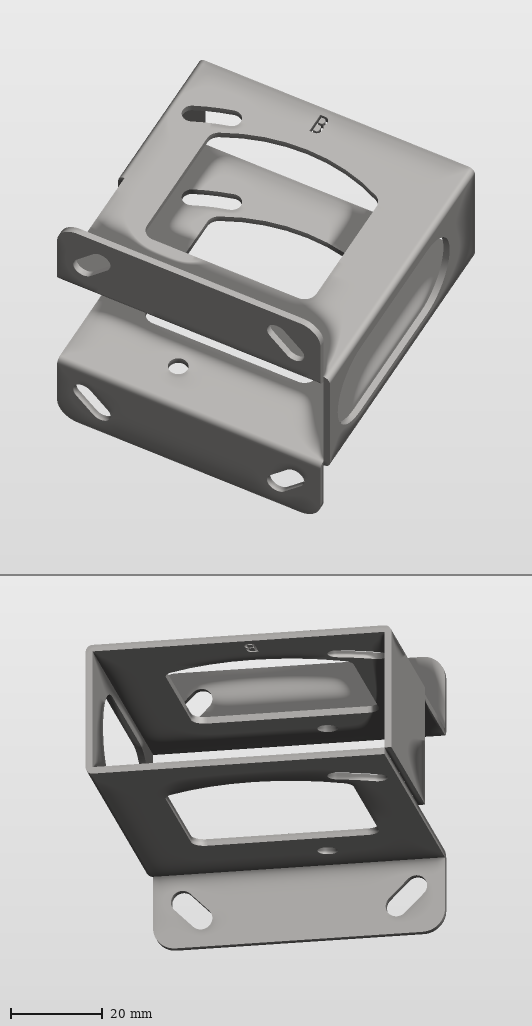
import cadquery as cq
import math

SHEET = 1.5
HAIRLINE = 0.01
BEND_RADIUS = SHEET - HAIRLINE
DEPTH = 69.5
PLATE_WIDTH = 65.0
CHANNEL_HEIGHT = 29.9
FLANGE_SPAN = 63.8

FRONT = -DEPTH / 2
BACK = DEPTH / 2
PLATE_FRONT = FRONT + SHEET
PLATE_SIDE = PLATE_WIDTH / 2
PLATE_TOP = CHANNEL_HEIGHT / 2
PLATE_INNER = PLATE_TOP - SHEET

LIP_LENGTH = 37.95
LIP_BOTTOM = HAIRLINE - PLATE_INNER

FLANGE_CORNER_RADIUS = 5.0
MOUNT_SLOT_X = 23.9
MOUNT_SLOT_Z = 23.3
MOUNT_SLOT_WIDTH = 5.0
MOUNT_SLOT_TRAVEL = 6.0
MOUNT_SLOT_ANGLE = 45.0

PIVOT_X = -8.2
PIVOT_Y = -24.1
PIVOT_DIAMETER = 4.5
SWING_RADIUS = 48.4
SWING_MIDDLE = 109.0
SWING_SWEEP = 10.4

WINDOW_X = -0.9
WINDOW_WIDTH = 41.85
WINDOW_FRONT = -15.85
WINDOW_CROWN = 22.6
WINDOW_ARCH_RADIUS = 42.5
WINDOW_CORNER_RADIUS = 3.0

WALL_OPENING_HEIGHT = 21.35
WALL_OPENING_FRONT = -29.55
WALL_OPENING_BACK = 22.95

CORE_LEFT = -2.5
CORE_WIDTH = 1.25
CORE_GAP = 0.55
LOWER_CORE_Y = 28.15
LOWER_CORE_LENGTH = 1.9
UPPER_CORE_Y = LOWER_CORE_Y + LOWER_CORE_LENGTH + CORE_GAP
UPPER_CORE_LENGTH = 1.6
CORE_ROUND = 0.55
CORES = [(LOWER_CORE_Y, LOWER_CORE_LENGTH), (UPPER_CORE_Y, UPPER_CORE_LENGTH)]


def box(x0, x1, y0, y1, z0, z1):
    """Box between two opposite corners."""
    return cq.Workplane("XY").box(x1 - x0, y1 - y0, z1 - z0, centered=False).translate((x0, y0, z0))


def channel():
    """Top plate, right wall and bottom plate bent as one U."""
    outer = box(-PLATE_SIDE, PLATE_SIDE + SHEET, PLATE_FRONT, BACK, -PLATE_TOP, PLATE_TOP)
    outer = outer.edges("|Y and >X").fillet(BEND_RADIUS)
    inner = box(-PLATE_SIDE, PLATE_SIDE, PLATE_FRONT, BACK, -PLATE_INNER, PLATE_INNER)
    return outer.cut(inner)


def lip():
    """Short left wall, bent down from the top plate."""
    body = box(-PLATE_SIDE - SHEET, -PLATE_SIDE, BACK - LIP_LENGTH, BACK, LIP_BOTTOM, PLATE_TOP)
    return body.edges("|Y and <X and >Z").fillet(BEND_RADIUS)


def flange():
    """Upper mounting flange, bent up from the front of the top plate."""
    top = FLANGE_SPAN / 2
    body = box(-PLATE_SIDE, PLATE_SIDE, FRONT, PLATE_FRONT, PLATE_INNER, top)
    body = body.edges("|Y and >Z").fillet(FLANGE_CORNER_RADIUS)
    body = body.edges("|X and <Y and <Z").fillet(BEND_RADIUS)
    for side in (-1, 1):
        slot = (
            cq.Workplane("XZ", origin=(side * MOUNT_SLOT_X, PLATE_FRONT, MOUNT_SLOT_Z))
            .slot2D(MOUNT_SLOT_TRAVEL + MOUNT_SLOT_WIDTH, MOUNT_SLOT_WIDTH, -side * MOUNT_SLOT_ANGLE)
            .extrude(SHEET)
        )
        body = body.cut(slot)
    return body


def plate_cutter():
    """Workplane on the underside of the bottom plate, for cuts through both plates."""
    return cq.Workplane("XY", origin=(0, 0, -PLATE_TOP))


def pivot_hole():
    """Round hole through both plates."""
    return plate_cutter().center(PIVOT_X, PIVOT_Y).circle(PIVOT_DIAMETER / 2).extrude(CHANNEL_HEIGHT)


def swing_point(radius, angle):
    """Point at a radius and direction from the pivot."""
    turn = math.radians(angle)
    return (PIVOT_X + radius * math.cos(turn), PIVOT_Y + radius * math.sin(turn))


def swing_slot():
    """Arc slot about the pivot, as wide as the pivot hole."""
    half = PIVOT_DIAMETER / 2
    inner = SWING_RADIUS - half
    outer = SWING_RADIUS + half
    start = SWING_MIDDLE - SWING_SWEEP / 2
    end = SWING_MIDDLE + SWING_SWEEP / 2
    end_turn = math.degrees(half / SWING_RADIUS)
    return (
        plate_cutter()
        .moveTo(*swing_point(inner, start))
        .threePointArc(swing_point(SWING_RADIUS, start - end_turn), swing_point(outer, start))
        .threePointArc(swing_point(outer, SWING_MIDDLE), swing_point(outer, end))
        .threePointArc(swing_point(SWING_RADIUS, end + end_turn), swing_point(inner, end))
        .threePointArc(swing_point(inner, SWING_MIDDLE), swing_point(inner, start))
        .close()
        .extrude(CHANNEL_HEIGHT)
    )


def window():
    """Rectangle with an arched back edge and rounded corners."""
    half = WINDOW_WIDTH / 2
    arch_drop = WINDOW_ARCH_RADIUS - math.sqrt(WINDOW_ARCH_RADIUS**2 - half**2)
    shoulder = WINDOW_CROWN - arch_drop
    return (
        plate_cutter()
        .moveTo(WINDOW_X - half, WINDOW_FRONT)
        .lineTo(WINDOW_X + half, WINDOW_FRONT)
        .lineTo(WINDOW_X + half, shoulder)
        .threePointArc((WINDOW_X, WINDOW_CROWN), (WINDOW_X - half, shoulder))
        .close()
        .extrude(CHANNEL_HEIGHT)
        .edges("|Z")
        .fillet(WINDOW_CORNER_RADIUS)
    )


def wall_opening():
    """Slot-shaped opening through the right wall."""
    middle = (WALL_OPENING_FRONT + WALL_OPENING_BACK) / 2
    length = WALL_OPENING_BACK - WALL_OPENING_FRONT
    return (
        cq.Workplane("YZ", origin=(PLATE_SIDE, middle, 0))
        .slot2D(length, WALL_OPENING_HEIGHT)
        .extrude(SHEET)
    )


def core(front, length, margin=0.0):
    """D-shaped piece of the top plate, rounded on its right side and grown all round by the margin."""
    body = box(
        CORE_LEFT - margin,
        CORE_LEFT + CORE_WIDTH + margin,
        front - margin,
        front + length + margin,
        PLATE_INNER,
        PLATE_TOP,
    )
    return body.edges("|Z and >X").fillet(CORE_ROUND + margin)


def make_bracket():
    """The whole bent sheet, with its cut-outs."""
    upper_flange = flange()
    bracket = channel().union(lip()).union(upper_flange).union(upper_flange.mirror("XY"))
    for cutter in (pivot_hole(), swing_slot(), window(), wall_opening()):
        bracket = bracket.cut(cutter)
    for front, length in CORES:
        bracket = bracket.cut(core(front, length, CORE_GAP))
    return bracket


bracket = make_bracket()
cores = [core(front, length) for front, length in CORES]

result = cq.Compound.makeCompound([bracket.solids().val(), *[piece.val() for piece in cores]])